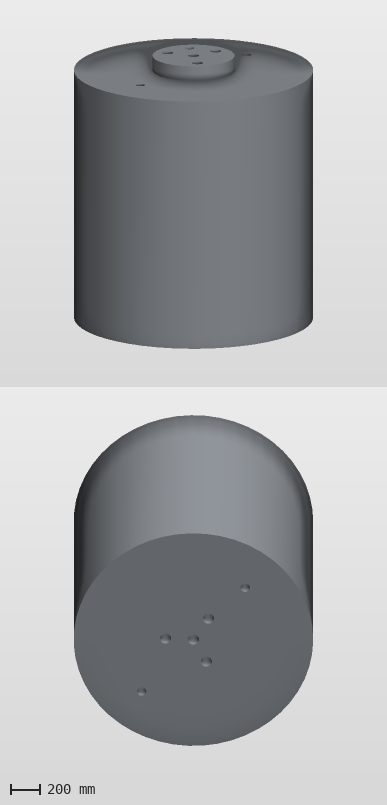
import cadquery as cq
import math

total_height = 1842.0
body_diameter = 1626.0
boss_diameter = 558.0
boss_height = 101.0
body_height = total_height - boss_height

boss_hole_diameter = 75.0
boss_hole_circle_radius = 190.0
boss_hole_angles = (90, 210, 330)

blind_hole_diameter = 60.0
blind_hole_angle = 150
blind_hole_depth = boss_height

body_hole_diameter = 63.0
body_hole_circle_radius = 530.0
body_hole_angle = 99
body_hole_angles = (body_hole_angle, body_hole_angle + 180)


def polar_point(radius, angle):
    """Point at a radius and an angle in degrees, counted from +X."""
    turn = math.radians(angle)
    return (radius * math.cos(turn), radius * math.sin(turn))


def vertical_holes(points, diameter, depth):
    """Round cutters reaching down from the top of the boss."""
    top_plane = cq.Workplane("XY").workplane(offset=total_height)
    return top_plane.pushPoints(points).circle(diameter / 2).extrude(-depth)


body = cq.Workplane("XY").circle(body_diameter / 2).extrude(body_height)
boss = cq.Workplane("XY").workplane(offset=body_height).circle(boss_diameter / 2).extrude(boss_height)

boss_hole_points = [(0, 0)]
for angle in boss_hole_angles:
    boss_hole_points.append(polar_point(boss_hole_circle_radius, angle))
blind_hole_points = [polar_point(boss_hole_circle_radius, blind_hole_angle)]
body_hole_points = [polar_point(body_hole_circle_radius, angle) for angle in body_hole_angles]

result = (
    body.union(boss)
    .cut(vertical_holes(boss_hole_points, boss_hole_diameter, total_height))
    .cut(vertical_holes(blind_hole_points, blind_hole_diameter, blind_hole_depth))
    .cut(vertical_holes(body_hole_points, body_hole_diameter, total_height))
)